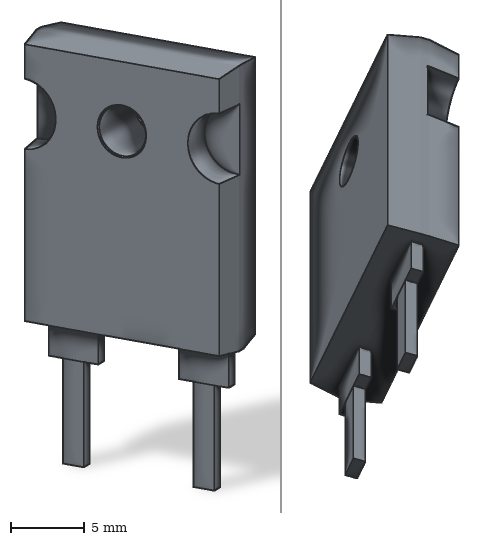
import cadquery as cq

width = 15.75
thickness = 5.2
overall_height = 31.13
band_thickness = 0.65
draft_inset = 0.3
drafted_depth = (thickness - band_thickness) / 2

shoulder_width = 3.85
shoulder_height = 2.83
leg_width = 1.62
leg_height = 7.63
lead_thickness = 0.87
lead_pitch = 10.15

hole_radius = 1.8
hole_chamfer = 0.1
hole_below_top = 5.35
notch_radius = 2.55
notch_reach = 2.75
notch_depth = 2.4

front_y = -thickness / 2
notch_floor_y = front_y + notch_depth
lead_front_y = notch_floor_y
housing_bottom = leg_height + shoulder_height
housing_height = overall_height - housing_bottom
housing_middle = housing_bottom + housing_height / 2
hole_z = overall_height - hole_below_top
band_half = band_thickness / 2


def plane_facing_front(y):
    """XZ plane at the given Y; its normal points toward -Y."""
    return cq.Workplane("XZ", origin=(0, y, 0))


def drafted_half(direction):
    """Tapered half that narrows away from the band; direction is -1 (front) or 1 (back)."""
    return (
        plane_facing_front(direction * band_half)
        .center(0, housing_middle)
        .rect(width, housing_height)
        .workplane(offset=-direction * drafted_depth)
        .rect(width - 2 * draft_inset, housing_height - 2 * draft_inset)
        .loft(combine=True, ruled=True)
    )


def hole_cutter():
    """Through hole with a small chamfer at its front mouth."""
    mouth_radius = hole_radius + hole_chamfer
    profile = [
        (0, front_y),
        (mouth_radius, front_y),
        (hole_radius, front_y + hole_chamfer),
        (hole_radius, -front_y),
        (0, -front_y),
    ]
    return (
        cq.Workplane("XY")
        .polyline(profile)
        .close()
        .revolve(360, (0, 0, 0), (0, 1, 0))
        .translate((0, 0, hole_z))
    )


def notch_cutter(side):
    """Round-ended notch open to the front and to one side; side is -1 or 1."""
    arc_centre_x = side * (width / 2 - notch_reach + notch_radius)
    open_end_x = side * (width / 2 + notch_radius)
    tip_x = side * (width / 2 - notch_reach)
    return (
        plane_facing_front(notch_floor_y)
        .moveTo(open_end_x, hole_z + notch_radius)
        .lineTo(arc_centre_x, hole_z + notch_radius)
        .threePointArc((tip_x, hole_z), (arc_centre_x, hole_z - notch_radius))
        .lineTo(open_end_x, hole_z - notch_radius)
        .close()
        .extrude(notch_depth)
    )


def make_housing():
    band = (
        plane_facing_front(band_half)
        .center(0, housing_middle)
        .rect(width, housing_height)
        .extrude(band_thickness)
    )
    housing = band.union(drafted_half(-1)).union(drafted_half(1)).cut(hole_cutter())
    for side in (-1, 1):
        housing = housing.cut(notch_cutter(side))
    return housing


def lead_bar(x, bar_width, bottom, top):
    """Rectangular bar of lead thickness, centred on the given X."""
    return (
        plane_facing_front(lead_front_y)
        .center(x, (bottom + top) / 2)
        .rect(bar_width, top - bottom)
        .extrude(-lead_thickness)
    )


def make_shoulder(x, housing):
    """Shoulder whose top is trimmed to the band and sloped underside of the housing."""
    top = housing_bottom + draft_inset
    return lead_bar(x, shoulder_width, leg_height, top).cut(housing)


def make_leg(x):
    return lead_bar(x, leg_width, 0, leg_height)


housing = make_housing()
lead_positions = [-lead_pitch / 2, lead_pitch / 2]
shoulders = [make_shoulder(x, housing) for x in lead_positions]
legs = [make_leg(x) for x in lead_positions]

result = cq.Compound.makeCompound(
    [
        housing.solids().val(),
        *[shoulder.solids().val() for shoulder in shoulders],
        *[leg.val() for leg in legs],
    ]
)